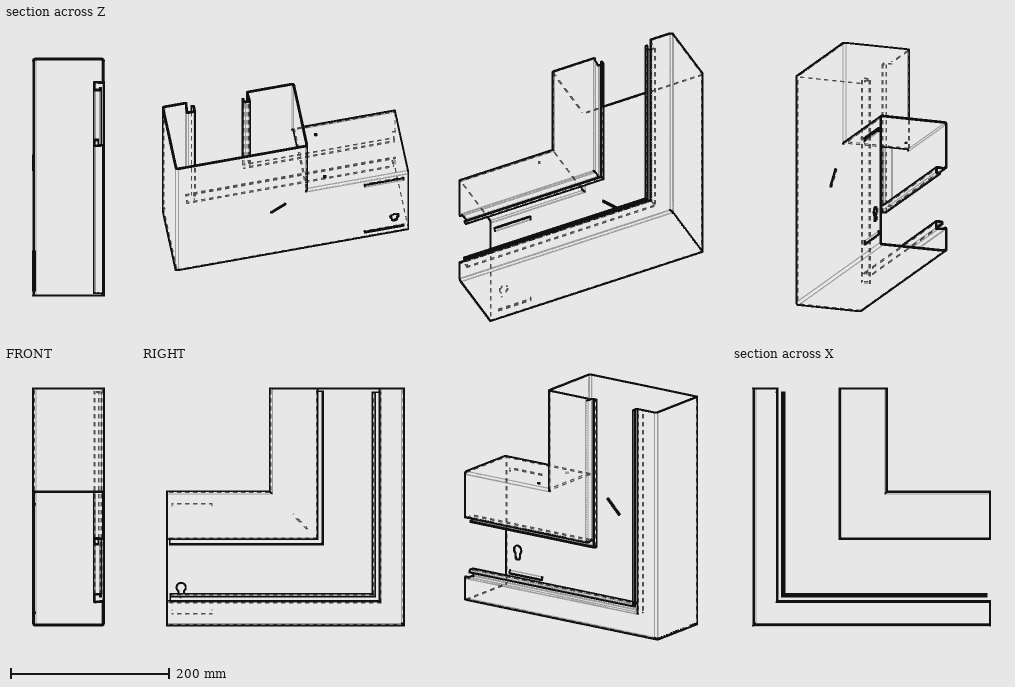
import cadquery as cq
import math

LEG_LENGTH = 299.8
DEPTH = 90.0
CHANNEL_WIDTH = 170.0
SHEET = 1.5

OUTER_FLANGE = 31.5
INNER_FLANGE = 61.2
LIP_DEPTH = 13.2
OUTER_RETURN_GAP = 4.5
INNER_RETURN_GAP = 7.2
LIP_SLANT = 1.0
OUTER_LIP_WIDTH = 9.0
INNER_LIP_WIDTH = 6.5
OUTER_LIP_HEM = 3.0
OUTER_LIP_SETBACK = 4.5
INNER_LIP_SETBACK = 3.3

CORNER_RADIUS = 3.3
LIP_RADIUS = 2.0

TAB_LENGTH = 50.5
TAB_HEIGHT = 4.8
TAB_TIP_GAP = 1.0
TAB_END_GAP = 6.0
TAB_EDGE_GAP = 15.0
TAB_TIP_DEPTH = 1.2

KEYHOLE_Y = 18.0
KEYHOLE_Z = 48.3
KEYHOLE_RADIUS = 5.7
KEYHOLE_NECK_WIDTH = 6.5
KEYHOLE_BOTTOM_Z = 35.5

HOLE_DIAMETER = 2.5
HOLE_EDGE_GAP = 15.0
HOLE_Y = 105.0

SLIT_Y = 168.0
SLIT_LENGTH = 25.5
SLIT_WIDTH = 1.5


def sheet_side(points, radii, offset):
    """Start, bends and end of a folded line moved sideways (left is positive).

    Each bend becomes (tangent start, arc middle, tangent end); radii belong to the line itself.
    """
    points = [cq.Vector(x, z) for x, z in points]
    directions = [(after - before).normalized() for before, after in zip(points, points[1:])]
    normals = [cq.Vector(-direction.y, direction.x) for direction in directions]
    bends = []
    for i, radius in enumerate(radii):
        before, after = directions[i], directions[i + 1]
        turn = math.atan2(before.cross(after).z, before.dot(after))
        bend_radius = radius - math.copysign(1, turn) * offset
        half_turn = abs(turn) / 2
        corner = points[i + 1] + (normals[i] + normals[i + 1]) * (offset / (1 + before.dot(after)))
        tangent = bend_radius * math.tan(half_turn)
        pull = bend_radius * (1 / math.cos(half_turn) - 1)
        middle = corner + (after - before).normalized() * pull
        bends.append((corner - before * tangent, middle, corner + after * tangent))
    return points[0] + normals[0] * offset, bends, points[-1] + normals[-1] * offset


def plane_point(vector):
    return vector.x, vector.y


def folded_section():
    """Closed sheet-metal section of one leg in the XZ plane."""
    half = SHEET / 2
    outside, inside = DEPTH - half, half
    bottom, top = half, CHANNEL_WIDTH - half
    lip_x = DEPTH - LIP_DEPTH + half
    outer_return_x = DEPTH - OUTER_RETURN_GAP
    inner_return_x = DEPTH - INNER_RETURN_GAP
    inner_web_z = CHANNEL_WIDTH - INNER_FLANGE + half
    inner_return_z = CHANNEL_WIDTH - INNER_FLANGE - INNER_LIP_WIDTH + half
    outer_web_z = OUTER_FLANGE - half
    outer_return_z = OUTER_FLANGE + OUTER_LIP_WIDTH - half
    inner_lip = [
        (inner_return_x, inner_return_z),
        (lip_x, inner_return_z),
        (lip_x, inner_web_z + LIP_SLANT),
        (outside, inner_web_z),
    ]
    walls = [(outside, top), (inside, top), (inside, bottom), (outside, bottom)]
    outer_lip = [
        (outside, outer_web_z),
        (lip_x, outer_web_z - LIP_SLANT),
        (lip_x, outer_return_z),
        (outer_return_x, outer_return_z),
        (outer_return_x, outer_return_z - OUTER_LIP_HEM),
    ]
    points = inner_lip + walls + outer_lip
    inner_radii = [LIP_RADIUS - half] * (len(inner_lip) - 1)
    wall_radii = [CORNER_RADIUS - half] * len(walls)
    outer_radii = [LIP_RADIUS - half] * (len(outer_lip) - 1)
    radii = inner_radii + wall_radii + outer_radii

    left_start, left_bends, left_end = sheet_side(points, radii, half)
    right_start, right_bends, right_end = sheet_side(points, radii, -half)
    section = cq.Workplane("XZ").moveTo(*plane_point(left_start))
    for first, middle, last in left_bends:
        section = section.lineTo(*plane_point(first)).threePointArc(plane_point(middle), plane_point(last))
    section = section.lineTo(*plane_point(left_end)).lineTo(*plane_point(right_end))
    for first, middle, last in reversed(right_bends):
        section = section.lineTo(*plane_point(last)).threePointArc(plane_point(middle), plane_point(first))
    return section.lineTo(*plane_point(right_start)).close()


def lip_end(low_z, high_z, setback):
    """Block that trims a lip back from the open end of the leg, leaving its fold with the flange."""
    return (
        cq.Workplane("XY")
        .box(LIP_DEPTH - LIP_RADIUS, setback, high_z - low_z, centered=False)
        .translate((DEPTH - LIP_DEPTH, 0, low_z))
    )


def mitred_leg():
    """Horizontal leg along Y, cut at 45 degrees where it meets the vertical leg."""
    leg = folded_section().extrude(-LEG_LENGTH)
    mitre = (
        cq.Workplane("YZ")
        .polyline([(0, 0), (LEG_LENGTH, 0), (0, LEG_LENGTH)])
        .close()
        .extrude(DEPTH)
    )
    outer_lip_z = OUTER_FLANGE - LIP_RADIUS - LIP_SLANT
    inner_lip_z = CHANNEL_WIDTH - INNER_FLANGE + LIP_RADIUS + LIP_SLANT
    opening_z = CHANNEL_WIDTH / 2
    outer_end = lip_end(outer_lip_z, opening_z, OUTER_LIP_SETBACK)
    inner_end = lip_end(opening_z, inner_lip_z, INNER_LIP_SETBACK)
    return leg.intersect(mitre).cut(outer_end).cut(inner_end)


def vertical_from(leg):
    """Mirror image of the horizontal leg across the mitre plane y + z = LEG_LENGTH."""
    return (
        leg.mirror("XY")
        .rotate((0, 0, 0), (1, 0, 0), -90)
        .translate((0, LEG_LENGTH, LEG_LENGTH))
    )


def tab_window(hinge_z, free_z):
    return (
        cq.Workplane("XY")
        .box(SHEET, TAB_LENGTH, abs(hinge_z - free_z), centered=False)
        .translate((0, TAB_END_GAP, min(hinge_z, free_z)))
    )


def tab_flap(hinge_z, tip_z):
    """Strip hinged at hinge_z whose free edge leans into the channel."""
    return (
        cq.Workplane("XZ")
        .polyline([
            (0, hinge_z),
            (TAB_TIP_DEPTH, tip_z),
            (TAB_TIP_DEPTH + SHEET, tip_z),
            (SHEET, hinge_z),
        ])
        .close()
        .extrude(-TAB_LENGTH)
        .translate((0, TAB_END_GAP, 0))
    )


def keyhole():
    neck_radius = KEYHOLE_NECK_WIDTH / 2
    neck_end_z = KEYHOLE_BOTTOM_Z + neck_radius
    wall = cq.Workplane("YZ")
    head = wall.center(KEYHOLE_Y, KEYHOLE_Z).circle(KEYHOLE_RADIUS).extrude(SHEET)
    neck = (
        wall.center(KEYHOLE_Y, (KEYHOLE_Z + neck_end_z) / 2)
        .slot2D(KEYHOLE_Z - neck_end_z + KEYHOLE_NECK_WIDTH, KEYHOLE_NECK_WIDTH, 90)
        .extrude(SHEET)
    )
    return head.union(neck)


def wall_holes():
    return (
        cq.Workplane("XY", origin=(0, 0, CHANNEL_WIDTH - SHEET))
        .pushPoints([(HOLE_EDGE_GAP, HOLE_Y), (DEPTH - HOLE_EDGE_GAP, HOLE_Y)])
        .circle(HOLE_DIAMETER / 2)
        .extrude(SHEET)
    )


def mitre_slit():
    slit = cq.Workplane("XY").box(SHEET, SLIT_LENGTH, SLIT_WIDTH, centered=(False, True, True))
    return slit.rotate((0, 0, 0), (1, 0, 0), -45).translate((0, SLIT_Y, LEG_LENGTH - SLIT_Y))


plain_leg = mitred_leg()
result = plain_leg.union(vertical_from(plain_leg))
for free_edge_z, inward in ((TAB_EDGE_GAP, 1), (CHANNEL_WIDTH - TAB_EDGE_GAP, -1)):
    hinge_edge_z = free_edge_z + inward * TAB_HEIGHT
    flap_tip_z = free_edge_z + inward * TAB_TIP_GAP
    result = result.cut(tab_window(hinge_edge_z, free_edge_z))
    result = result.union(tab_flap(hinge_edge_z, flap_tip_z))
result = result.cut(keyhole()).cut(wall_holes()).cut(mitre_slit())